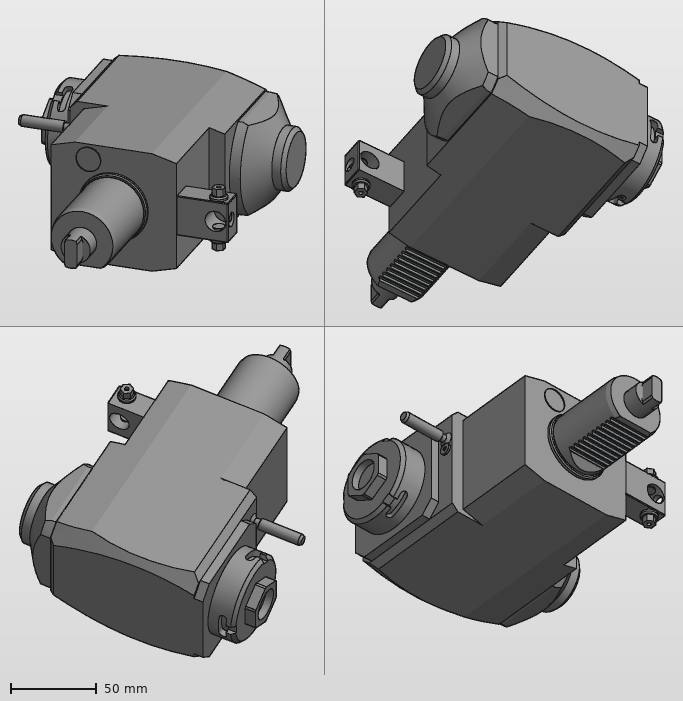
import cadquery as cq
import math

OVERLAP = 1.0

BODY_HALF_HEIGHT = 37.5
BODY_BACK = 134.0
BODY_LEFT = -47.4
BODY_RIGHT = 48.6
FOOT_HALF_WIDTH = 39.0
FOOT_LENGTH = 54.8
BEVEL = 4.3
CORNER_BEVEL = 3.7
TAPER_START = 23.9
TAPER_SLOPE = math.tan(math.radians(15))
CROWN_CENTER_X = -9.3
CROWN_RADIUS = 127.7
PLUG_CENTER = (-15.9, 27.6)
PLUG_RADIUS = 7.6
PLUG_DEPTH = 0.6

SPINDLE_Y = 100.0
PLATE_LEFT = -53.1
PLATE_FRONT = 66.7
PLATE_HALF_HEIGHT = 33.2
PLATE_CORNER = 8.0
COLLAR_LEFT = -70.2
COLLAR_RADIUS = 27.6
COLLAR_CHAMFER = 2.3
COLLAR_SLOT_COUNT = 3
SLOT_WIDTH = 5.0
SLOT_LENGTH = 18.5
SLOT_CENTER_X = -62.5
SLOT_FLOOR_RADIUS = 23.5
NOTCH_WIDTH = 6.2
NOTCH_FLOOR_RADIUS = 24.5
NUT_LEFT = -76.8
NUT_FLATS = 26.8
NUT_CORNER_RADIUS = 15.0
NUT_BORE_RADIUS = 9.7
NUT_BORE_DEPTH = 5.0

CAP_RADIUS = 37.5
CAP_CONE_START = 55.5
CAP_CONE_END = 68.2
CAP_TIP_RADIUS = 19.2
CAP_RIGHT = 76.2
CAP_TIP_CHAMFER = 2.5
CAP_BACK = 130.0
CAP_HALF_HEIGHT = 29.7
CAP_TAPER_START = 51.7

SHANK_RADIUS = 20.0
SHANK_LENGTH = 53.1
SHANK_CHAMFER_LENGTH = 3.0
SHANK_CHAMFER_DEPTH = 0.8
FLANGE_RADIUS = 21.5
FLANGE_THICKNESS = 2.5
FLANGE_CHAMFER = 0.8
RELIEF_RADIUS = 19.4
RELIEF_LENGTH = 0.8
RACK_TIP = 15.2
RACK_ROOT = 14.0
RACK_FIRST_ROOT = 11.5
RACK_LAST_ROOT = 47.5
RACK_GROOVES = 10
RACK_PITCH = (RACK_LAST_ROOT - RACK_FIRST_ROOT) / (RACK_GROOVES - 1)
RACK_ROOT_WIDTH = 1.5
RACK_MOUTH_WIDTH = 3.0
RACK_START = 10.3
DRIVE_RADIUS = 9.0
DRIVE_LENGTH = 10.7
TANG_WIDTH = 7.8
TANG_EDGE_WIDTH = 6.2
TANG_FLAT_HEIGHT = 13.2
TANG_END = 72.0
TANG_ROOT_FILLET = 0.6

BRACKET_RIGHT = 70.7
BRACKET_FRONT = 0.8
BRACKET_BACK = 16.0
BRACKET_HALF_HEIGHT = 12.5
BRACKET_CHAMFER = 0.52
NOZZLE_X = 62.8
NOZZLE_Y = 6.5
BRACKET_HOLE_RADIUS = 6.4
BRACKET_OUTLET_RADIUS = 4.3
NOZZLE_STEM_RADIUS = 3.7
NOZZLE_STEM_END = 5.4
NOZZLE_FLANGE_RADIUS = 5.4
NOZZLE_FLANGE_TOP = 13.8
NOZZLE_SEAT_RADIUS = 4.5
NOZZLE_SEAT_TOP = 14.8
NOZZLE_TOP = 19.5
NOZZLE_FLATS = 6.8
NOZZLE_BORE_RADIUS = 1.2
NOZZLE_BORE_DEPTH = 2.0

PIPE_Y = 60.2
PIPE_Z = 17.5
PIPE_LEFT = -80.5
PIPE_RIGHT = -52.7
PIPE_RADIUS = 3.5
PIPE_CHAMFER = 1.6
NECK_RADIUS = 2.5
SOCKET_LEFT = -49.2
SOCKET_RADIUS = 4.5
SCREW_Z = 10.3
SCREW_RADIUS = 3.7
SCREW_HEAD = 1.2
SCREW_SOCKET_RADIUS = 1.2
SCREW_SOCKET_DEPTH = 0.8


def turned(profile, origin, axis, side):
    """Solid of revolution; profile holds (distance along axis, radius) pairs."""
    plane = cq.Plane(origin=origin, xDir=axis, normal=side)
    points = [(profile[0][0], 0)] + profile + [(profile[-1][0], 0)]
    return cq.Workplane(plane).polyline(points).close().revolve(360, (0, 0), (1, 0))


def turned_x(profile, y, z=0):
    return turned(profile, (0, y, z), (1, 0, 0), (0, 0, 1))


def block(x_range, y_range, z_range):
    """Box between the given limits."""
    size = [high - low for low, high in (x_range, y_range, z_range)]
    corner = (x_range[0], y_range[0], z_range[0])
    return cq.Workplane("XY").box(*size, centered=False).translate(corner)


def symmetric_prism(upper_edge, y_start, y_end):
    """Prism along Y whose section is the upper edge mirrored in Z."""
    lower_edge = [(x, -z) for x, z in reversed(upper_edge)]
    plane = cq.Plane(origin=(0, y_start, 0), xDir=(1, 0, 0), normal=(0, -1, 0))
    return cq.Workplane(plane).polyline(upper_edge + lower_edge).close().extrude(y_start - y_end)


def tapered_height(x):
    return BODY_HALF_HEIGHT - (abs(x) - TAPER_START) * TAPER_SLOPE


def make_body():
    head_edge = [
        (BODY_LEFT, BODY_HALF_HEIGHT - BEVEL),
        (BODY_LEFT + BEVEL, BODY_HALF_HEIGHT),
        (TAPER_START, BODY_HALF_HEIGHT),
        (BODY_RIGHT, tapered_height(BODY_RIGHT)),
    ]
    head = symmetric_prism(head_edge, FOOT_LENGTH, BODY_BACK)
    head = head.edges("|Z and >X and >Y").chamfer(CORNER_BEVEL)
    foot_edge = [
        (-FOOT_HALF_WIDTH, tapered_height(FOOT_HALF_WIDTH)),
        (-TAPER_START, BODY_HALF_HEIGHT),
        (TAPER_START, BODY_HALF_HEIGHT),
        (FOOT_HALF_WIDTH, tapered_height(FOOT_HALF_WIDTH)),
    ]
    foot = symmetric_prism(foot_edge, 0, FOOT_LENGTH + OVERLAP)
    crown_profile = [
        (-BODY_HALF_HEIGHT, CROWN_RADIUS),
        (0, CROWN_RADIUS + BODY_HALF_HEIGHT),
        (BODY_HALF_HEIGHT, CROWN_RADIUS),
    ]
    crown_center = (CROWN_CENTER_X, BODY_BACK - BEVEL - CROWN_RADIUS, 0)
    crown = turned(crown_profile, crown_center, (0, 0, 1), (0, 1, 0))
    plug_x, plug_z = PLUG_CENTER
    plug_profile = [(0, PLUG_RADIUS), (PLUG_DEPTH, PLUG_RADIUS)]
    plug_recess = turned(plug_profile, (plug_x, 0, plug_z), (0, 1, 0), (0, 0, 1))
    return head.union(foot).intersect(crown).cut(plug_recess)


def make_plate():
    return block(
        (PLATE_LEFT, BODY_LEFT + OVERLAP),
        (PLATE_FRONT, BODY_BACK),
        (-PLATE_HALF_HEIGHT, PLATE_HALF_HEIGHT),
    ).edges("|X").chamfer(PLATE_CORNER)


def make_collar():
    collar = turned_x(
        [
            (COLLAR_LEFT, COLLAR_RADIUS - COLLAR_CHAMFER),
            (COLLAR_LEFT + COLLAR_CHAMFER, COLLAR_RADIUS),
            (PLATE_LEFT + OVERLAP, COLLAR_RADIUS),
        ],
        SPINDLE_Y,
    )
    slot = (
        cq.Workplane("XZ", origin=(SLOT_CENTER_X, SPINDLE_Y, 0))
        .slot2D(SLOT_LENGTH, SLOT_WIDTH, 90)
        .extrude(-COLLAR_RADIUS - OVERLAP)
    )
    slot_core = turned_x([(COLLAR_LEFT, SLOT_FLOOR_RADIUS), (PLATE_LEFT, SLOT_FLOOR_RADIUS)], SPINDLE_Y)
    notch = block(
        (COLLAR_LEFT, SLOT_CENTER_X),
        (SPINDLE_Y + NOTCH_FLOOR_RADIUS, SPINDLE_Y + COLLAR_RADIUS),
        (-NOTCH_WIDTH / 2, NOTCH_WIDTH / 2),
    )
    cutter = slot.cut(slot_core).union(notch)
    for index in range(COLLAR_SLOT_COUNT):
        angle = index * 360 / COLLAR_SLOT_COUNT
        collar = collar.cut(cutter.rotate((0, SPINDLE_Y, 0), (1, SPINDLE_Y, 0), angle))
    return collar


def make_nut():
    nut_right = COLLAR_LEFT + OVERLAP
    hexagon = (
        cq.Workplane("YZ", origin=(NUT_LEFT, SPINDLE_Y, 0))
        .polygon(6, NUT_FLATS, circumscribed=True)
        .extrude(nut_right - NUT_LEFT)
    )
    rounding = turned_x([(NUT_LEFT, NUT_CORNER_RADIUS), (nut_right, NUT_CORNER_RADIUS)], SPINDLE_Y)
    bore = turned_x([(NUT_LEFT, NUT_BORE_RADIUS), (NUT_LEFT + NUT_BORE_DEPTH, NUT_BORE_RADIUS)], SPINDLE_Y)
    return hexagon.intersect(rounding).cut(bore)


def make_cap():
    cap = turned_x(
        [
            (BODY_RIGHT - OVERLAP, CAP_RADIUS),
            (CAP_CONE_START, CAP_RADIUS),
            (CAP_CONE_END, CAP_TIP_RADIUS),
            (CAP_RIGHT - CAP_TIP_CHAMFER, CAP_TIP_RADIUS),
            (CAP_RIGHT, CAP_TIP_RADIUS - CAP_TIP_CHAMFER),
        ],
        SPINDLE_Y,
    )
    end_height = CAP_HALF_HEIGHT - (CAP_RIGHT - CAP_TAPER_START) * TAPER_SLOPE
    envelope_edge = [
        (BODY_RIGHT - OVERLAP, CAP_HALF_HEIGHT),
        (CAP_TAPER_START, CAP_HALF_HEIGHT),
        (CAP_RIGHT, end_height),
    ]
    return cap.intersect(symmetric_prism(envelope_edge, 0, CAP_BACK))


def make_shank():
    shank = turned(
        [
            (-OVERLAP, FLANGE_RADIUS),
            (FLANGE_THICKNESS - FLANGE_CHAMFER, FLANGE_RADIUS),
            (FLANGE_THICKNESS, FLANGE_RADIUS - FLANGE_CHAMFER),
            (FLANGE_THICKNESS, RELIEF_RADIUS),
            (FLANGE_THICKNESS + RELIEF_LENGTH, SHANK_RADIUS),
            (SHANK_LENGTH - SHANK_CHAMFER_LENGTH, SHANK_RADIUS),
            (SHANK_LENGTH, SHANK_RADIUS - SHANK_CHAMFER_DEPTH),
        ],
        (0, 0, 0),
        (0, -1, 0),
        (0, 0, 1),
    )
    return shank.cut(make_rack_cutter())


def make_rack_cutter():
    """Flat with a 45 degree run-out and rack grooves along the underside of the shank."""
    depth = SHANK_RADIUS - RACK_TIP + OVERLAP
    outline = [
        (-RACK_START, -RACK_TIP),
        (-RACK_START + depth, -RACK_TIP - depth),
        (-SHANK_LENGTH - OVERLAP, -RACK_TIP - depth),
        (-SHANK_LENGTH - OVERLAP, -RACK_TIP),
    ]
    cutter = cq.Workplane("YZ").polyline(outline).close().extrude(SHANK_RADIUS, both=True)
    for index in range(RACK_GROOVES):
        y = -RACK_FIRST_ROOT - index * RACK_PITCH
        groove = [
            (y - RACK_ROOT_WIDTH / 2, -RACK_ROOT),
            (y + RACK_ROOT_WIDTH / 2, -RACK_ROOT),
            (y + RACK_MOUTH_WIDTH / 2, -RACK_TIP),
            (y - RACK_MOUTH_WIDTH / 2, -RACK_TIP),
        ]
        cutter = cutter.union(cq.Workplane("YZ").polyline(groove).close().extrude(SHANK_RADIUS, both=True))
    return cutter


def make_drive():
    """Stub shaft ending in a flat tang with sloped long edges and filleted roots."""
    shoulder = SHANK_LENGTH + DRIVE_LENGTH
    drive = turned(
        [(SHANK_LENGTH - OVERLAP, DRIVE_RADIUS), (TANG_END, DRIVE_RADIUS)],
        (0, 0, 0),
        (0, -1, 0),
        (0, 0, 1),
    )
    outer = DRIVE_RADIUS + OVERLAP
    relief_outline = [
        (TANG_WIDTH / 2, -TANG_FLAT_HEIGHT / 2),
        (TANG_WIDTH / 2, TANG_FLAT_HEIGHT / 2),
        (TANG_EDGE_WIDTH / 2, DRIVE_RADIUS),
        (outer, DRIVE_RADIUS),
        (outer, -DRIVE_RADIUS),
        (TANG_EDGE_WIDTH / 2, -DRIVE_RADIUS),
    ]
    plane = cq.Plane(origin=(0, -shoulder, 0), xDir=(1, 0, 0), normal=(0, -1, 0))
    relief = cq.Workplane(plane).polyline(relief_outline).close().extrude(TANG_END - shoulder)
    root = cq.selectors.NearestToPointSelector((TANG_WIDTH / 2, -shoulder, 0))
    relief = relief.edges(root).fillet(TANG_ROOT_FILLET)
    return drive.cut(relief).cut(relief.mirror("YZ"))


def make_nozzle():
    """Upper coolant nozzle with its stem reaching the cross hole of the bracket."""
    base = (NOZZLE_X, NOZZLE_Y, 0)
    stem = turned(
        [
            (NOZZLE_STEM_END, NOZZLE_STEM_RADIUS),
            (BRACKET_HALF_HEIGHT - OVERLAP, NOZZLE_STEM_RADIUS),
            (BRACKET_HALF_HEIGHT - OVERLAP, NOZZLE_FLANGE_RADIUS),
            (NOZZLE_FLANGE_TOP, NOZZLE_FLANGE_RADIUS),
            (NOZZLE_SEAT_TOP, NOZZLE_SEAT_RADIUS),
        ],
        base,
        (0, 0, 1),
        (0, 1, 0),
    )
    head = (
        cq.Workplane("XY", origin=(NOZZLE_X, NOZZLE_Y, NOZZLE_FLANGE_TOP))
        .polygon(6, NOZZLE_FLATS, circumscribed=True)
        .extrude(NOZZLE_TOP - NOZZLE_FLANGE_TOP)
        .faces(">Z")
        .workplane()
        .hole(2 * NOZZLE_BORE_RADIUS, NOZZLE_BORE_DEPTH)
    )
    return stem.union(head)


def make_bracket():
    bracket = (
        block(
            (FOOT_HALF_WIDTH - OVERLAP, BRACKET_RIGHT),
            (BRACKET_FRONT, BRACKET_BACK),
            (-BRACKET_HALF_HEIGHT, BRACKET_HALF_HEIGHT),
        )
        .faces(">X or <Y")
        .edges("not <X")
        .chamfer(BRACKET_CHAMFER)
    )
    hole = turned(
        [(0, BRACKET_HOLE_RADIUS), (BRACKET_BACK, BRACKET_HOLE_RADIUS)],
        (NOZZLE_X, 0, 0),
        (0, 1, 0),
        (0, 0, 1),
    )
    outlet = turned_x(
        [(NOZZLE_X, BRACKET_OUTLET_RADIUS), (BRACKET_RIGHT, BRACKET_OUTLET_RADIUS)],
        NOZZLE_Y,
    )
    nozzle = make_nozzle()
    return bracket.cut(hole).cut(outlet).union(nozzle).union(nozzle.mirror("XY"))


def make_jet_pipe():
    return turned_x(
        [
            (PIPE_LEFT, PIPE_RADIUS - PIPE_CHAMFER / 2),
            (PIPE_LEFT + PIPE_CHAMFER, PIPE_RADIUS),
            (PIPE_RIGHT, PIPE_RADIUS),
            (PIPE_RIGHT, NECK_RADIUS),
            (SOCKET_LEFT, NECK_RADIUS),
            (BODY_LEFT, SOCKET_RADIUS),
            (BODY_LEFT + OVERLAP, SOCKET_RADIUS),
        ],
        PIPE_Y,
        PIPE_Z,
    )


def make_screw():
    head_left = BODY_LEFT - SCREW_HEAD
    head = turned_x([(head_left, SCREW_RADIUS), (BODY_LEFT + OVERLAP, SCREW_RADIUS)], PIPE_Y, SCREW_Z)
    socket_end = head_left + SCREW_SOCKET_DEPTH
    socket = turned_x(
        [(head_left, SCREW_SOCKET_RADIUS), (socket_end, SCREW_SOCKET_RADIUS)], PIPE_Y, SCREW_Z
    )
    return head.cut(socket)


result = make_body()
for feature in (
    make_plate(),
    make_collar(),
    make_nut(),
    make_cap(),
    make_shank(),
    make_drive(),
    make_bracket(),
    make_jet_pipe(),
    make_screw(),
):
    result = result.union(feature)